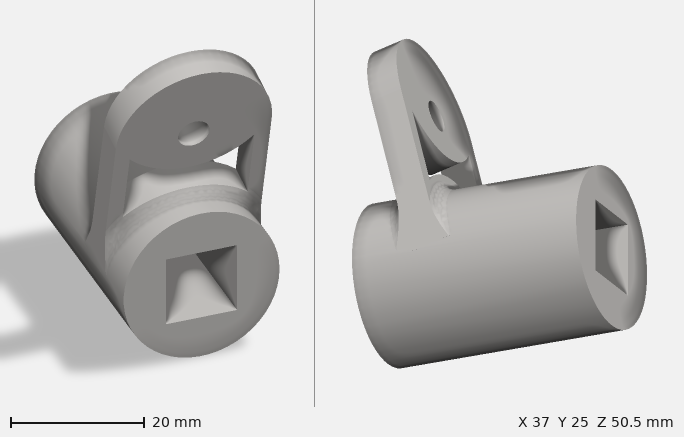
import cadquery as cq
import math

barrel_length = 37.0
barrel_diameter = 25.0
barrel_radius = barrel_diameter / 2
bore_side = 11.35

arm_root_x = 25.05
arm_lean = 14.0
arm_thickness = 5.0
arm_length = 26.05
eye_hole_diameter = 5.0
root_fillet = 2.0

window_width = 20.0
window_bottom_radius = 15.0
window_top_radius = 14.0
window_top_height = 19.0

lean = math.radians(arm_lean)
half_thickness = arm_thickness / 2

arm_plane = cq.Plane(
    origin=(arm_root_x, 0, 0),
    xDir=(0, 1, 0),
    normal=(math.cos(lean), 0, -math.sin(lean)),
)


def make_barrel():
    return cq.Workplane("YZ").circle(barrel_radius).extrude(barrel_length)


def make_arm():
    """Round-ended plate, from the root up to the eye."""
    plate = (
        cq.Workplane(arm_plane)
        .moveTo(-barrel_radius, 0)
        .lineTo(barrel_radius, 0)
        .lineTo(barrel_radius, arm_length)
        .threePointArc((0, arm_length + barrel_radius), (-barrel_radius, arm_length))
        .close()
        .extrude(half_thickness, both=True)
    )
    eye_hole = (
        cq.Workplane(arm_plane)
        .center(0, arm_length)
        .circle(eye_hole_diameter / 2)
        .extrude(half_thickness, both=True)
    )
    return plate.cut(eye_hole)


def make_window():
    """Cutter deep enough to trim the root fillets as well as the arm."""
    half_width = window_width / 2
    bottom_corner = math.sqrt(window_bottom_radius**2 - half_width**2)
    top_rise = window_top_radius - math.sqrt(window_top_radius**2 - half_width**2)
    top_corner = window_top_height + top_rise
    return (
        cq.Workplane(arm_plane)
        .moveTo(-half_width, bottom_corner)
        .threePointArc((0, window_bottom_radius), (half_width, bottom_corner))
        .lineTo(half_width, top_corner)
        .threePointArc((0, window_top_height), (-half_width, top_corner))
        .close()
        .extrude(half_thickness + root_fillet, both=True)
    )


def make_root_blend():
    """Barrel with a filleted collar in the arm plane, trimmed to the arm's width and upper side."""
    collar_radius = barrel_radius + 2 * root_fillet
    collar = cq.Workplane(arm_plane).circle(collar_radius).extrude(half_thickness, both=True)
    core = (
        cq.Workplane("YZ", origin=(-barrel_length, 0, 0))
        .circle(barrel_radius)
        .extrude(3 * barrel_length)
    )
    joint_box = cq.selectors.BoxSelector(
        (arm_root_x - collar_radius, -collar_radius, -collar_radius),
        (arm_root_x + collar_radius, collar_radius, collar_radius),
    )
    blended = core.union(collar).edges(joint_box).edges("%ELLIPSE").fillet(root_fillet)

    reach = half_thickness + 2 * root_fillet
    top = barrel_radius + 1.5 * root_fillet
    shift = top * math.tan(lean)
    foot_x = half_thickness * math.cos(lean)
    foot_z = half_thickness * math.sin(lean)
    trim = (
        cq.Workplane("XZ", origin=(arm_root_x, 0, 0))
        .moveTo(-reach * math.cos(lean), reach * math.sin(lean))
        .lineTo(foot_x, -foot_z)
        .lineTo(half_thickness / math.cos(lean), 0)
        .lineTo(reach, 0)
        .lineTo(reach + shift, top)
        .lineTo(shift - reach, top)
        .close()
        .extrude(barrel_radius, both=True)
    )
    return blended.intersect(trim)


bore = cq.Workplane("YZ").rect(bore_side, bore_side).extrude(barrel_length)

result = make_barrel().union(make_arm()).union(make_root_blend())
result = result.cut(make_window()).cut(bore)